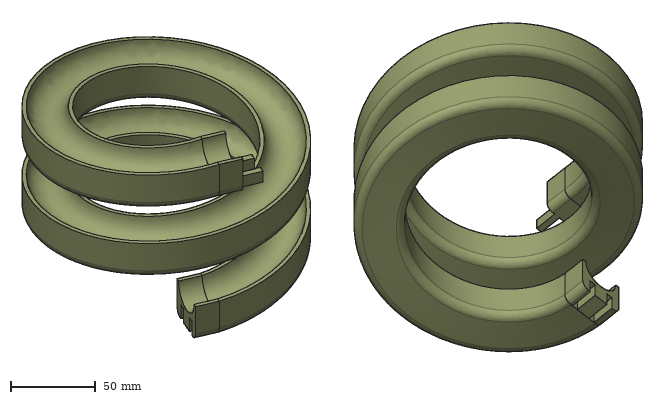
import cadquery as cq
import math

outer_radius = 85.0
channel_width = 30.0
channel_height = 25.0
turns = 2
pitch = 2 * channel_height
wall_thickness = 2.5
bottom_fillet = 5.0

inner_radius = outer_radius - channel_width
center_radius = outer_radius - channel_width / 2
groove_radius = channel_width / 2 - wall_thickness
rise = turns * pitch

connector_length = 15.0
slot_height = 10.0
tab_height = 8.0
joint_center = 70.2
joint_spacing = 13.8
bar_width = 4.0


def channel_profile():
    """Channel cross-section at the start of the coil, with its bottom at Z = 0."""
    corner_shift = bottom_fillet * (1 - math.sqrt(0.5))
    return (
        cq.Workplane("XZ")
        .moveTo(inner_radius + bottom_fillet, 0)
        .lineTo(outer_radius - bottom_fillet, 0)
        .threePointArc((outer_radius - corner_shift, corner_shift), (outer_radius, bottom_fillet))
        .lineTo(outer_radius, channel_height)
        .lineTo(center_radius + groove_radius, channel_height)
        .threePointArc(
            (center_radius, channel_height - groove_radius),
            (center_radius - groove_radius, channel_height),
        )
        .lineTo(inner_radius, channel_height)
        .lineTo(inner_radius, bottom_fillet)
        .threePointArc((inner_radius + corner_shift, corner_shift), (inner_radius + bottom_fillet, 0))
        .close()
    )


def joint_bars(length, height):
    """Two bars side by side at Z = 0, reaching from Y = 0 along +Y."""
    return (
        cq.Workplane("XY")
        .pushPoints([(joint_center + side * joint_spacing / 2, length / 2) for side in (-1, 1)])
        .rect(bar_width, length)
        .extrude(height)
    )


def make_coil():
    """Channel swept along the helix, with both end faces in the plane Y = 0."""
    helix = cq.Wire.makeHelix(pitch, rise, center_radius)
    return channel_profile().sweep(cq.Workplane(helix), isFrenet=True)


def make_slotted_connector():
    """Straight run before the coil, with two slots along its full length."""
    body = channel_profile().extrude(connector_length)
    slots = joint_bars(connector_length, slot_height).translate((0, -connector_length, 0))
    return body.cut(slots)


def make_tabbed_connector():
    """Straight run after the coil, with two tabs on its free end."""
    body = channel_profile().extrude(-connector_length)
    tabs = joint_bars(connector_length, tab_height).translate((0, connector_length, 0))
    return body.union(tabs).translate((0, 0, rise))


coil = make_coil()
slotted_connector = make_slotted_connector()
tabbed_connector = make_tabbed_connector()

result = cq.Compound.makeCompound([coil.val(), slotted_connector.val(), tabbed_connector.val()])